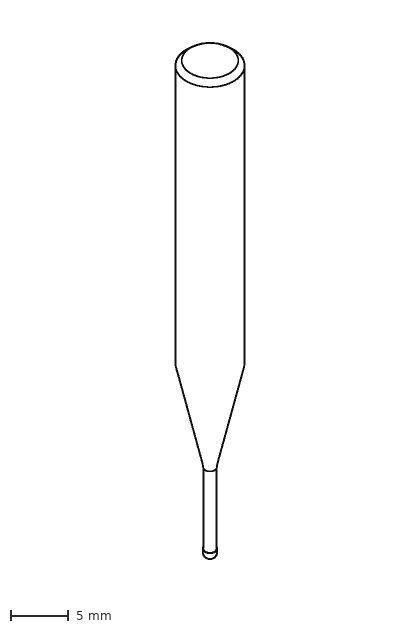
import cadquery as cq
import math

overall_length = 55.0
shank_radius = 6.0 / 2
shank_chamfer = 0.55

ball_radius = 0.63
cutter_length = 1.0

neck_radius = 0.58
neck_top = 9.5
blend_radius = 5.5
taper_angle = math.radians(12.0)
head_length = 10.0
joint_angle = math.asin((head_length - neck_top) / blend_radius)


def blend_point(angle):
    """Point (radius, Z) on the concave arc that leaves the neck tangentially."""
    radius = neck_radius + blend_radius * (1 - math.cos(angle))
    height = neck_top + blend_radius * math.sin(angle)
    return radius, height


def revolve_profile(profile):
    """Close a (radius, Z) profile and revolve it about Z."""
    return profile.close().revolve(360, (0, 0), (0, 1))


def make_head():
    """Hemispherical tip with a short land, slimmer neck and the start of the blend."""
    ball_middle_angle = math.pi / 4
    ball_middle = (
        ball_radius * math.sin(ball_middle_angle),
        ball_radius * (1 - math.cos(ball_middle_angle)),
    )
    profile = (
        cq.Workplane("XZ")
        .moveTo(0, 0)
        .threePointArc(ball_middle, (ball_radius, ball_radius))
        .lineTo(ball_radius, cutter_length)
        .lineTo(neck_radius, cutter_length)
        .lineTo(neck_radius, neck_top)
        .threePointArc(blend_point(joint_angle / 2), blend_point(joint_angle))
        .lineTo(0, head_length)
    )
    return revolve_profile(profile)


def make_shank():
    """Rest of the blend, cone tangent to it, and chamfered cylindrical shank."""
    cone_bottom_radius, cone_bottom = blend_point(taper_angle)
    cone_top = cone_bottom + (shank_radius - cone_bottom_radius) / math.tan(taper_angle)
    profile = (
        cq.Workplane("XZ")
        .moveTo(0, head_length)
        .lineTo(*blend_point(joint_angle))
        .threePointArc(
            blend_point((joint_angle + taper_angle) / 2),
            (cone_bottom_radius, cone_bottom),
        )
        .lineTo(shank_radius, cone_top)
        .lineTo(shank_radius, overall_length - shank_chamfer)
        .lineTo(shank_radius - shank_chamfer, overall_length)
        .lineTo(0, overall_length)
    )
    return revolve_profile(profile)


head = make_head()
shank = make_shank()

result = cq.Compound.makeCompound([head.val(), shank.val()])